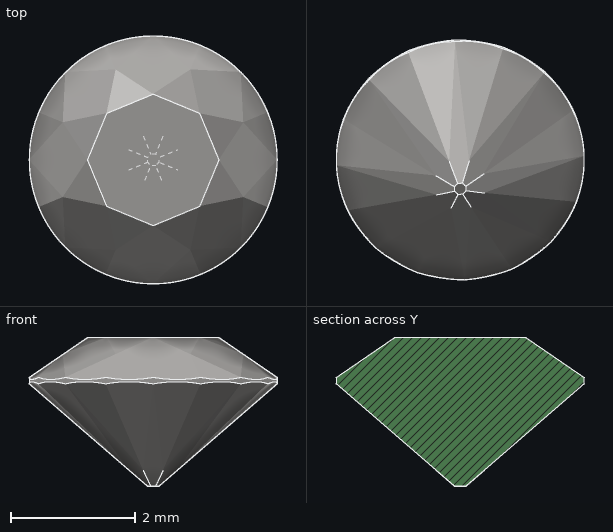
import cadquery as cq
import math

girdle_radius = 2.0
height = 2.4
table_radius = 1.06
star_radius = 1.575
crown_height = 0.645
pavilion_height = 1.65
culet_apothem = 0.09
lower_tip_height = 0.255
symmetry = 8
sector = 360.0 / symmetry
half_sector = sector / 2
cutter_size = 4 * girdle_radius


def polar_point(radius, angle, z):
    """Point at a radius and an angle in degrees about the stone's axis."""
    turn = math.radians(angle)
    return cq.Vector(radius * math.cos(turn), radius * math.sin(turn), z)


def cut_facet(stone, a, b, c):
    """Remove everything outside the plane through three points."""
    normal = (b - a).cross(c - a)
    if normal.dot(a - cq.Vector(0, 0, height / 2)) < 0:
        normal = -normal
    plane = cq.Plane(origin=a, normal=normal)
    cutter = cq.Workplane(plane).rect(cutter_size, cutter_size).extrude(cutter_size)
    return stone.cut(cutter)


def cut_main_facet(stone, inner_radius, inner_z, girdle_z, angle):
    """Cut a main facet from the table or culet out to one girdle corner."""
    inner = polar_point(inner_radius, angle, inner_z)
    across = polar_point(0.04, angle + 90, 0)
    outer = polar_point(girdle_radius, angle, girdle_z)
    return cut_facet(stone, inner, inner + across, outer)


def cut_girdle_facets(stone, tip_radius, tip_z, girdle_z, angle):
    """Cut the pair of girdle facets that meet below or above one tip."""
    tip = polar_point(tip_radius, angle, tip_z)
    middle = polar_point(girdle_radius, angle, girdle_z)
    for side in (-half_sector, half_sector):
        corner = polar_point(girdle_radius, angle + side, girdle_z)
        stone = cut_facet(stone, tip, middle, corner)
    return stone


upper_girdle_z = height - crown_height
lower_girdle_z = pavilion_height

half_cosine = math.cos(math.radians(half_sector))
star_run = star_radius * half_cosine - table_radius
star_z = height - crown_height * star_run / (girdle_radius - table_radius)
lower_tip_run = (girdle_radius - culet_apothem) * lower_tip_height / pavilion_height
lower_tip_radius = (culet_apothem + lower_tip_run) / half_cosine

result = cq.Workplane("XY").circle(girdle_radius).extrude(height)

for index in range(symmetry):
    main_angle = index * sector
    tip_angle = main_angle + half_sector

    result = cut_main_facet(result, table_radius, height, upper_girdle_z, main_angle)
    result = cut_girdle_facets(result, star_radius, star_z, upper_girdle_z, tip_angle)
    result = cut_facet(
        result,
        polar_point(table_radius, main_angle, height),
        polar_point(table_radius, main_angle + sector, height),
        polar_point(star_radius, tip_angle, star_z),
    )

    result = cut_main_facet(result, culet_apothem, 0, lower_girdle_z, main_angle)
    result = cut_girdle_facets(
        result, lower_tip_radius, lower_tip_height, lower_girdle_z, tip_angle
    )